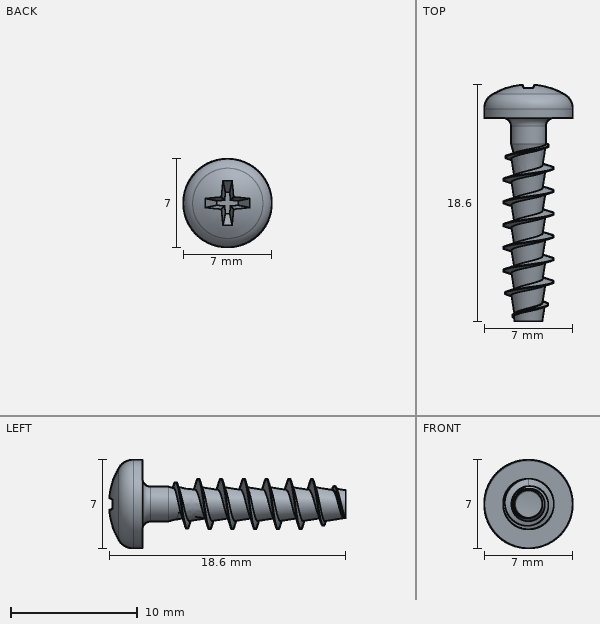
import cadquery as cq
import math


head_radius = 3.5
head_edge_fillet = 0.07
head_rim_height = 0.75
shoulder_radius = 1.3
dome_edge_radius = 2.77
dome_apex_height = 2.675

recess_depth = 1.9
recess_reach = 1.9
recess_root_half_width = 0.49
recess_end_half_width = 0.39
recess_floor_scale = 0.45

shank_radius = 1.39
shank_length = 2.0
neck_fillet = 0.6
screw_length = 16.0
core_radius = 1.08
run_in_length = 1.1

tip_radius = 1.1
tip_dish_radius = 1.03
tip_dish_depth = 0.07

pitch = 1.79
thread_radius = 2.0
crest_width = 0.06
flank_angle = 15.0
first_turn_y = -2.15
buried_radius = 0.95

thread_start_turn = -0.4
full_height_turn = 0.85
fade_turn = 6.25
thread_end_turn = 7.8
run_in_fall = 0.46
run_out_fall = 0.58

flare_radius = 1.375
flare_angle = 9.0
flare_length = 1.65
flare_start_turn = -0.4
flare_end_turn = 7.9


def revolve_about_y(profile):
    return profile.close().revolve(360, (0, 0, 0), (0, 1, 0))


def make_head():
    shoulder_center = head_radius - shoulder_radius
    dome_edge_height = head_rim_height + math.sqrt(
        shoulder_radius**2 - (dome_edge_radius - shoulder_center) ** 2
    )
    shoulder_mid = shoulder_radius * math.sqrt(0.5)

    dome_rise = dome_apex_height - dome_edge_height
    dome_radius = (dome_edge_radius**2 + dome_rise**2) / (2 * dome_rise)
    dome_mid_x = dome_edge_radius / 2
    dome_mid_y = dome_apex_height - dome_radius + math.sqrt(dome_radius**2 - dome_mid_x**2)

    profile = (
        cq.Workplane("XY")
        .lineTo(head_radius, 0)
        .lineTo(head_radius, head_rim_height)
        .threePointArc(
            (shoulder_center + shoulder_mid, head_rim_height + shoulder_mid),
            (dome_edge_radius, dome_edge_height),
        )
        .threePointArc((dome_mid_x, dome_mid_y), (0, dome_apex_height))
    )
    return revolve_about_y(profile).faces("<Y").edges().fillet(head_edge_fillet)


def cross_outline(scale):
    """Corners of a four-armed cross with arms that narrow outwards."""
    arm = [
        (recess_root_half_width, -recess_root_half_width),
        (recess_reach, -recess_end_half_width),
        (recess_reach, recess_end_half_width),
    ]
    corners = []
    for quarter in range(4):
        cosine = round(math.cos(quarter * math.pi / 2))
        sine = round(math.sin(quarter * math.pi / 2))
        for u, v in arm:
            corners.append((scale * (u * cosine - v * sine), scale * (u * sine + v * cosine)))
    return corners


def make_recess():
    return (
        cq.Workplane("XZ", origin=(0, dome_apex_height, 0))
        .polyline(cross_outline(1.0))
        .close()
        .workplane(offset=recess_depth)
        .polyline(cross_outline(recess_floor_scale))
        .close()
        .loft(ruled=True)
    )


def make_shank():
    fillet_mid = neck_fillet * (1 - math.sqrt(0.5))
    profile = (
        cq.Workplane("XY")
        .lineTo(shank_radius + neck_fillet, 0)
        .threePointArc(
            (shank_radius + fillet_mid, -fillet_mid),
            (shank_radius, -neck_fillet),
        )
        .lineTo(shank_radius, -shank_length)
        .lineTo(core_radius, -shank_length - run_in_length)
        .lineTo(core_radius, -screw_length)
        .lineTo(0, -screw_length)
    )
    return revolve_about_y(profile)


def helical_ridge(profile, start_turn, turns, fall=0.0, toward_head=False):
    """Ridge from start_turn onward, sinking by fall per turn.

    The profile lists (radius, offset) corners, with offset measured along the direction of travel.
    """
    cone_angle = math.atan(fall / pitch)
    slant = 1 / math.cos(cone_angle)
    helix_shape = {"angle": -math.degrees(cone_angle)} if fall else {}
    spine = cq.Wire.makeHelix(pitch * slant, turns * pitch * slant, thread_radius, **helix_shape)
    ridge = cq.Workplane("XZ").polyline(profile).close().sweep(cq.Workplane(obj=spine), isFrenet=True)

    travel_to_y = -90 if toward_head else 90
    return (
        ridge.rotate((0, 0, 0), (1, 0, 0), travel_to_y)
        .rotate((0, 0, 0), (0, 1, 0), -360 * start_turn)
        .translate((0, first_turn_y - pitch * start_turn, 0))
    )


def make_flare_envelope():
    """Cone that trims the last flare turn down to the tip radius."""
    threaded_length = screw_length - shank_length
    wide_radius = tip_radius + threaded_length * math.tan(math.radians(flare_angle))
    profile = (
        cq.Workplane("XY")
        .moveTo(0, -screw_length)
        .lineTo(tip_radius, -screw_length)
        .lineTo(wide_radius, -shank_length)
        .lineTo(wide_radius, 0)
        .lineTo(0, 0)
    )
    return revolve_about_y(profile)


def make_flare():
    thin_radius = flare_radius - flare_length * math.tan(math.radians(flare_angle))
    buried_depth = thin_radius - buried_radius
    profile = [
        (buried_radius, 0),
        (flare_radius, 0),
        (thin_radius, flare_length),
        (buried_radius, flare_length - buried_depth),
    ]
    flare = helical_ridge(profile, flare_start_turn, flare_end_turn - flare_start_turn)
    return flare.intersect(make_flare_envelope())


def make_thread():
    half_crest = crest_width / 2
    half_base = half_crest + (thread_radius - buried_radius) * math.tan(math.radians(flank_angle))
    profile = [
        (buried_radius, -half_base),
        (thread_radius, -half_crest),
        (thread_radius, half_crest),
        (buried_radius, half_base),
    ]
    run_in = helical_ridge(
        profile, full_height_turn, full_height_turn - thread_start_turn, run_in_fall, toward_head=True
    )
    full = helical_ridge(profile, full_height_turn, fade_turn - full_height_turn)
    run_out = helical_ridge(profile, fade_turn, thread_end_turn - fade_turn, run_out_fall)
    above_shank_end = cq.Workplane("XZ", origin=(0, -shank_length, 0)).circle(head_radius).extrude(-pitch)
    return full.union(run_in.cut(above_shank_end)).union(run_out)


def make_tip_cutter():
    """Everything beyond the flat end, plus the shallow spherical dish in that end."""
    beyond_tip = cq.Workplane("XZ", origin=(0, -screw_length, 0)).circle(head_radius).extrude(2 * pitch)
    sphere_radius = (tip_dish_radius**2 + tip_dish_depth**2) / (2 * tip_dish_depth)
    sphere_y = -screw_length + tip_dish_depth - sphere_radius
    dish = cq.Workplane("XY").sphere(sphere_radius).translate((0, sphere_y, 0))
    return beyond_tip.union(dish)


screw = make_head().cut(make_recess()).union(make_shank())
result = screw.union(make_flare()).union(make_thread()).cut(make_tip_cutter())